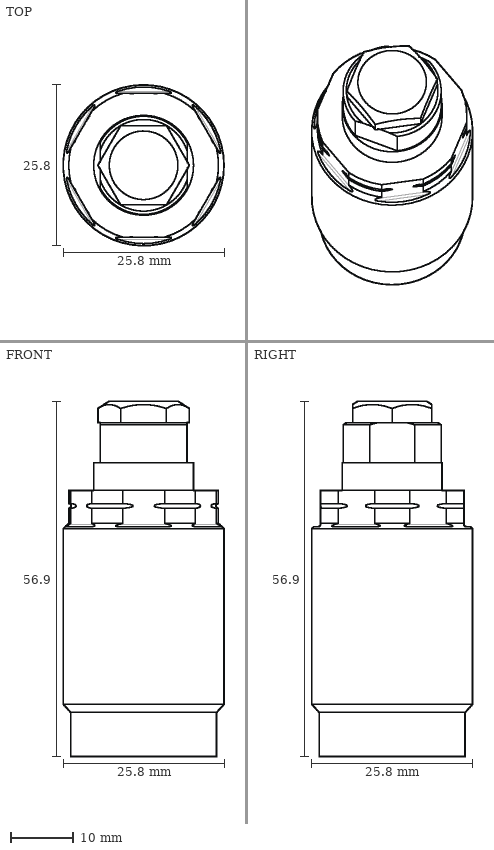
import cadquery as cq
import math

overall_height = 56.9
spigot_top = 7.05
body_bottom = 8.35
body_top = 36.5
nut_bottom = 37.3
groove_height = 40.1
nut_top = 42.6
collar_top = 47.05
neck_top = 53.45

spigot_diameter = 23.4
body_diameter = 25.8
nut_diameter = 23.95
collar_diameter = 16.0
neck_diameter = 15.7

nut_across_flats = 23.0
nut_flat_floor = 36.8
nut_flat_fillet = 0.35
groove_radius = 0.37
neck_across_flats = 13.95
neck_chamfer_width = 0.5
neck_chamfer_height = 0.35
hex_across_flats = 12.7
hex_top_diameter = 11.0
hex_chamfer_drop = 1.2
sides = 6

hex_across_corners = hex_across_flats / math.cos(math.pi / sides)


def make_body():
    """Spigot, main barrel and round nut blank, turned in one profile."""
    profile = [
        (0, 0),
        (spigot_diameter / 2, 0),
        (spigot_diameter / 2, spigot_top),
        (body_diameter / 2, body_bottom),
        (body_diameter / 2, body_top),
        (nut_diameter / 2, nut_bottom),
        (nut_diameter / 2, nut_top),
        (0, nut_top),
    ]
    return cq.Workplane("XZ").polyline(profile).close().revolve()


def cut_nut_flats(body):
    """Mill six flats with a filleted foot running slightly into the barrel shoulder."""
    flat_height = nut_top - nut_flat_floor
    cutter = (
        cq.Workplane("XY")
        .box(body_diameter, body_diameter, flat_height, centered=(True, False, False))
        .edges("|X and <Y and <Z")
        .fillet(nut_flat_fillet)
        .translate((0, nut_across_flats / 2, nut_flat_floor))
    )
    for side in range(sides):
        body = body.cut(cutter.rotate((0, 0, 0), (0, 0, 1), side * 360 / sides))
    return body


def make_groove():
    """Ring that cuts a round groove into the nut between its flats."""
    return (
        cq.Workplane("XZ")
        .center(nut_diameter / 2, groove_height)
        .circle(groove_radius)
        .revolve(360, (-nut_diameter / 2, 0), (-nut_diameter / 2, 1))
    )


def make_neck():
    """Round collar below a chamfered neck with two flats facing X."""
    collar = (
        cq.Workplane("XY")
        .workplane(offset=nut_top)
        .circle(collar_diameter / 2)
        .extrude(collar_top - nut_top)
    )
    neck_height = neck_top - collar_top
    neck = (
        cq.Workplane("XY")
        .workplane(offset=collar_top)
        .circle(neck_diameter / 2)
        .extrude(neck_height)
        .faces(">Z")
        .chamfer(neck_chamfer_height, neck_chamfer_width)
    )
    flats = (
        cq.Workplane("XY")
        .workplane(offset=collar_top)
        .rect(neck_across_flats, neck_diameter)
        .extrude(neck_height)
    )
    return collar.union(neck.intersect(flats))


def make_hex_head():
    """Hexagonal head with corners on X and a conical top chamfer."""
    head = (
        cq.Workplane("XY")
        .workplane(offset=neck_top)
        .polygon(sides, hex_across_corners)
        .extrude(overall_height - neck_top)
    )
    envelope = [
        (0, neck_top),
        (hex_across_corners / 2, neck_top),
        (hex_across_corners / 2, overall_height - hex_chamfer_drop),
        (hex_top_diameter / 2, overall_height),
        (0, overall_height),
    ]
    return head.intersect(cq.Workplane("XZ").polyline(envelope).close().revolve())


body = cut_nut_flats(make_body()).cut(make_groove())
result = body.union(make_neck()).union(make_hex_head())